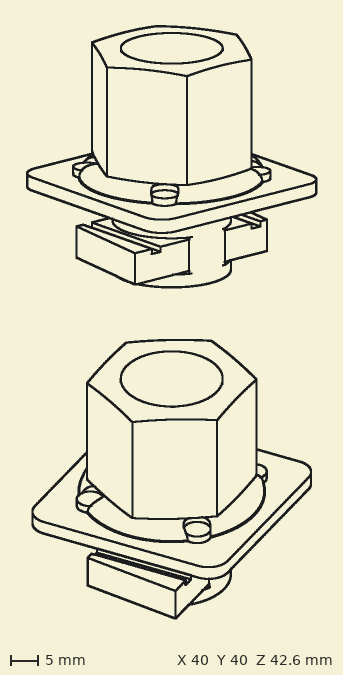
import cadquery as cq
import math

TOTAL_HEIGHT = 42.6

HEX_ACROSS_FLATS = 27.0
HEX_TURN = 30.0
HEX_FACE_DIAMETER = 25.15
HEX_CHAMFER_ANGLE = 10.0
BORE_DIAMETER = 18.75
BORE_DEPTH = 12.1
BORE_CONE_DEPTH = 5.55
STEM_DIAMETER = 21.75
CORE_DIAMETER = 12.0
SLOT_WIDTH = 20.0
SLOT_HEIGHT = 7.0
SLOT_BOTTOM = 2.45

PLATE_SIDE = 40.0
PLATE_CORNER_RADIUS = 4.0
PLATE_BOTTOM = 15.4
PLATE_THICKNESS = 2.55
RING_DIAMETER = 34.0
RING_HEIGHT = 2.6
RING_ROUNDING = 2.5
RING_LIP_DIAMETER = 34.25
RING_LIP_HEIGHT = 0.13
PAD_DIAMETER = 5.0
PAD_HEIGHT = 1.45
PAD_OFFSET = 11.08

BAR_WIDTH = 19.5
BAR_HEIGHT = 6.05
BAR_LONG_REACH = 17.13
BAR_SHORT_REACH = 14.65
GROOVE_WIDTH = 2.1
GROOVE_DEPTH = 1.0
GROOVE_OFFSET = 12.0

PLATE_TOP = PLATE_BOTTOM + PLATE_THICKNESS
RING_TOP = PLATE_TOP + RING_HEIGHT
PAD_TOP = PLATE_TOP + PAD_HEIGHT
HEX_BOTTOM = RING_TOP
HEX_HEIGHT = TOTAL_HEIGHT - HEX_BOTTOM
BAR_BOTTOM = SLOT_BOTTOM + (SLOT_HEIGHT - BAR_HEIGHT) / 2


def cylinder(diameter, bottom, top):
    return cq.Workplane("XY").workplane(offset=bottom).circle(diameter / 2).extrude(top - bottom)


def make_hex_head():
    """Hexagon with corners on the Y axis, chamfered by a cone at both ends."""
    corner_radius = HEX_ACROSS_FLATS / math.sqrt(3)
    head = (
        cq.Workplane("XY")
        .workplane(offset=HEX_BOTTOM)
        .polygon(6, 2 * corner_radius)
        .extrude(HEX_HEIGHT)
        .rotate((0, 0, 0), (0, 0, 1), HEX_TURN)
    )
    face_radius = HEX_FACE_DIAMETER / 2
    chamfer_drop = (corner_radius - face_radius) * math.tan(math.radians(HEX_CHAMFER_ANGLE))
    envelope = (
        cq.Workplane("XZ")
        .moveTo(0, HEX_BOTTOM)
        .lineTo(face_radius, HEX_BOTTOM)
        .lineTo(corner_radius, HEX_BOTTOM + chamfer_drop)
        .lineTo(corner_radius, TOTAL_HEIGHT - chamfer_drop)
        .lineTo(face_radius, TOTAL_HEIGHT)
        .lineTo(0, TOTAL_HEIGHT)
        .close()
        .revolve(360)
    )
    return head.intersect(envelope)


def make_bore():
    """Blind bore with a conical floor."""
    floor_edge = TOTAL_HEIGHT - BORE_DEPTH
    return (
        cq.Workplane("XZ")
        .moveTo(0, TOTAL_HEIGHT)
        .lineTo(BORE_DIAMETER / 2, TOTAL_HEIGHT)
        .lineTo(BORE_DIAMETER / 2, floor_edge)
        .lineTo(0, floor_edge - BORE_CONE_DEPTH)
        .close()
        .revolve(360)
    )


def make_bar_slot():
    """Slot through the stem along Y, leaving the round core."""
    slot_top = SLOT_BOTTOM + SLOT_HEIGHT
    slot = (
        cq.Workplane("XY")
        .workplane(offset=SLOT_BOTTOM)
        .rect(SLOT_WIDTH, STEM_DIAMETER)
        .extrude(SLOT_HEIGHT)
    )
    return slot.cut(cylinder(CORE_DIAMETER, SLOT_BOTTOM, slot_top))


def make_spindle():
    stem = cylinder(STEM_DIAMETER, 0, HEX_BOTTOM)
    return make_hex_head().union(stem).cut(make_bore()).cut(make_bar_slot())


def make_flange():
    """Square plate, rounded ring and four pads, with a hole for the stem."""
    plate = (
        cq.Workplane("XY")
        .workplane(offset=PLATE_BOTTOM)
        .rect(PLATE_SIDE, PLATE_SIDE)
        .extrude(PLATE_THICKNESS)
        .edges("|Z")
        .fillet(PLATE_CORNER_RADIUS)
    )
    ring = cylinder(RING_DIAMETER, PLATE_TOP, RING_TOP).edges(">Z").fillet(RING_ROUNDING)
    lip = cylinder(RING_LIP_DIAMETER, PLATE_TOP, PLATE_TOP + RING_LIP_HEIGHT)
    flange = plate.union(lip).union(ring)
    pad_centres = [(x, y) for x in (-PAD_OFFSET, PAD_OFFSET) for y in (-PAD_OFFSET, PAD_OFFSET)]
    for x, y in pad_centres:
        pad = cylinder(PAD_DIAMETER, PLATE_TOP, PAD_TOP).translate((x, y, 0))
        clearance = cylinder(PAD_DIAMETER, PAD_TOP, RING_TOP).translate((x, y, 0))
        flange = flange.union(pad).cut(clearance)
    return flange.cut(cylinder(STEM_DIAMETER, PLATE_BOTTOM, RING_TOP))


def make_bar():
    """Bar with parallel skew ends, a hole for the core and a groove across each arm."""
    half_width = BAR_WIDTH / 2
    bar_top = BAR_BOTTOM + BAR_HEIGHT
    bar = (
        cq.Workplane("XY")
        .workplane(offset=BAR_BOTTOM)
        .polyline([
            (-half_width, -BAR_SHORT_REACH),
            (half_width, -BAR_LONG_REACH),
            (half_width, BAR_SHORT_REACH),
            (-half_width, BAR_LONG_REACH),
        ])
        .close()
        .extrude(BAR_HEIGHT)
        .cut(cylinder(CORE_DIAMETER, BAR_BOTTOM, bar_top))
    )
    grooves = (
        cq.Workplane("XY")
        .workplane(offset=bar_top - GROOVE_DEPTH)
        .pushPoints([(0, -GROOVE_OFFSET), (0, GROOVE_OFFSET)])
        .rect(BAR_WIDTH, GROOVE_WIDTH)
        .extrude(GROOVE_DEPTH)
    )
    return bar.cut(grooves)


spindle = make_spindle()
flange = make_flange()
bar = make_bar()

result = cq.Compound.makeCompound([spindle.val(), flange.val(), bar.val()])